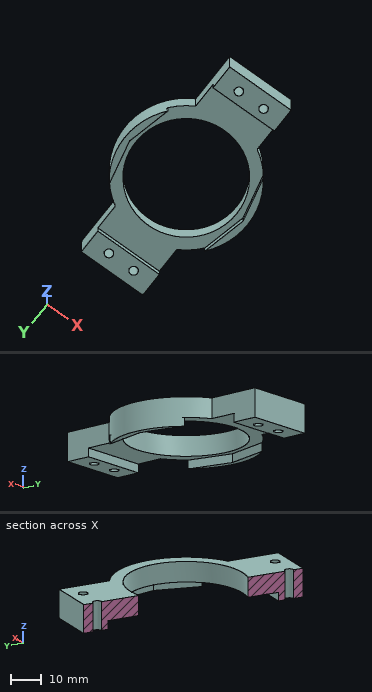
import cadquery as cq

length = 80.0
thickness = 10.0
tab_width = 25.0

ring_diameter = 50.0
bore_diameter = 41.0

hole_diameter = 3.0
hole_spacing_x = 10.0
hole_spacing_y = 70.0

recess_center_width = 46.0
recess_end_width = 31.6
recess_length = 62.0
recess_depth = 3.0


def plate_body():
    """Ring disc joined to a bar that forms both end tabs."""
    disc = cq.Workplane("XY").circle(ring_diameter / 2).extrude(thickness)
    bar = cq.Workplane("XY").rect(tab_width, length).extrude(thickness)
    return disc.union(bar)


def bore():
    return cq.Workplane("XY").circle(bore_diameter / 2).extrude(thickness)


def mounting_holes():
    return (
        cq.Workplane("XY")
        .rect(hole_spacing_x, hole_spacing_y, forConstruction=True)
        .vertices()
        .circle(hole_diameter / 2)
        .extrude(thickness)
    )


def underside_recess():
    center_x = recess_center_width / 2
    end_x = recess_end_width / 2
    end_y = recess_length / 2
    outline = [
        (center_x, 0),
        (end_x, end_y),
        (-end_x, end_y),
        (-center_x, 0),
        (-end_x, -end_y),
        (end_x, -end_y),
    ]
    return cq.Workplane("XY").polyline(outline).close().extrude(recess_depth)


result = plate_body().cut(bore()).cut(mounting_holes()).cut(underside_recess())